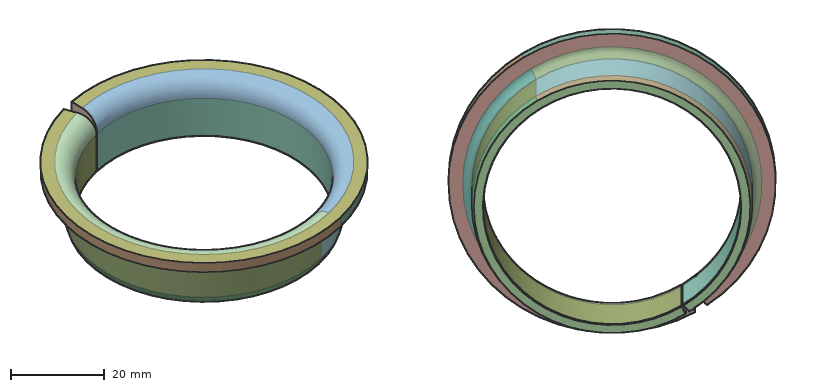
import cadquery as cq
import math

height = 15.0
flange_radius = 35.0
flange_thickness = 2.5
bore_radius = 27.5

mouth_radius = 4.5
under_flange_radius = mouth_radius - flange_thickness
arc_centre_r = bore_radius + mouth_radius
arc_centre_z = height - mouth_radius
body_radius = arc_centre_r - under_flange_radius

taper_height = 1.75
taper_depth = 0.5

bevel_height = 0.3
bevel_depth = 0.15

split_width_at_bore = 0.35
split_half_angle = 10.0


def flanged_ring():
    """Revolve the wall, flange and flared mouth as one profile."""
    diagonal = math.sqrt(0.5)
    mouth_mid = (arc_centre_r - mouth_radius * diagonal, arc_centre_z + mouth_radius * diagonal)
    under_mid = (
        arc_centre_r - under_flange_radius * diagonal,
        arc_centre_z + under_flange_radius * diagonal,
    )
    profile = (
        cq.Workplane("XZ")
        .moveTo(bore_radius, bevel_height)
        .lineTo(bore_radius + bevel_depth, 0)
        .lineTo(body_radius - taper_depth, 0)
        .lineTo(body_radius, taper_height)
        .lineTo(body_radius, arc_centre_z)
        .threePointArc(under_mid, (arc_centre_r, height - flange_thickness))
        .lineTo(flange_radius, height - flange_thickness)
        .lineTo(flange_radius, height)
        .lineTo(arc_centre_r, height)
        .threePointArc(mouth_mid, (bore_radius, arc_centre_z))
        .close()
    )
    return profile.revolve(360, (0, 0, 0), (0, 1, 0))


def split_wedge():
    """Full-height wedge whose apex lies inside the bore and whose wide end is beyond the flange."""
    overrun = 0.7
    bore_half = split_width_at_bore / 2
    slope = math.tan(math.radians(split_half_angle))
    apex_x = bore_radius - bore_half / slope
    outer_x = flange_radius + overrun
    outer_half = (outer_x - apex_x) * slope
    return (
        cq.Workplane("XY")
        .polyline([(-apex_x, 0), (-outer_x, outer_half), (-outer_x, -outer_half)])
        .close()
        .extrude(height)
    )


result = flanged_ring().cut(split_wedge())